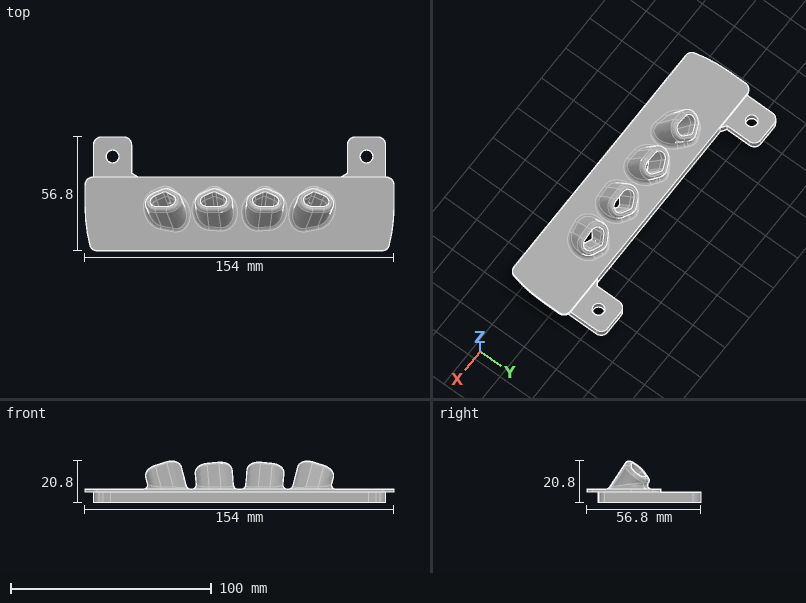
import cadquery as cq
import math

LENGTH = 154.0
DEPTH = 56.8

PLATE_DEPTH = 36.8
PLATE_THICKNESS = 1.5
PLATE_BACK_RADIUS = 4.0
PLATE_FRONT_RADIUS = 3.5
SIDE_CURVE_START = 22.0
SIDE_CURVE_RADIUS = 77.0

BASE_THICKNESS = 5.3
BASE_HALF_LENGTH = 72.8
BASE_FRONT = 5.5
BASE_FRONT_RADIUS = 2.8
FRONT_STEP = 0.45
STEP_OUTER_INSET = 4.9
STEP_INNER_INSET = 8.6
TAB_WIDTH = 19.1
TAB_RADIUS = 4.0
TAB_HOLE_DIAMETER = 6.3
TAB_HOLE_INSET = 9.8
GUSSET_WIDTH = 3.0
GUSSET_DEPTH = 2.0

RIM_TILT = 38.5
BODY_TILT = 32.5
FLAT_HALF = 2.92
BORE_SIDE_RADIUS = 3.65
BORE_PEAK_RADIUS = 1.85
WALL = 2.72
PEAK_ANGLE = 30.0
RIM_RADIUS = 1.5
MOUTH_DEPTH = 3.7
FOOT_RADIUS = 2.0
RIM_Y = 25.0
SOCKETS = ((5.5, 5.0, 13.0, 16.68), (17.5, 15.0, 38.2, 16.4))

PLATE_TOP = BASE_THICKNESS + PLATE_THICKNESS
AXIS_REACH = 40.0


def build_plate():
    half = LENGTH / 2
    sweep = math.asin(SIDE_CURVE_START / SIDE_CURVE_RADIUS)

    def side_point(angle):
        x = half - SIDE_CURVE_RADIUS * (1 - math.cos(angle))
        return x, SIDE_CURVE_START - SIDE_CURVE_RADIUS * math.sin(angle)

    mid_x, mid_y = side_point(sweep / 2)
    front_x, _ = side_point(sweep)
    plate = (
        cq.Workplane("XY", origin=(0, 0, BASE_THICKNESS))
        .moveTo(-half, PLATE_DEPTH)
        .lineTo(half, PLATE_DEPTH)
        .lineTo(half, SIDE_CURVE_START)
        .threePointArc((mid_x, mid_y), (front_x, 0))
        .lineTo(-front_x, 0)
        .threePointArc((-mid_x, mid_y), (-half, SIDE_CURVE_START))
        .close()
        .extrude(PLATE_THICKNESS)
    )
    plate = plate.edges("|Z and >Y").fillet(PLATE_BACK_RADIUS)
    return plate.edges("|Z and <Y").fillet(PLATE_FRONT_RADIUS)


def build_base():
    step_y = BASE_FRONT + FRONT_STEP
    step_outer = BASE_HALF_LENGTH - STEP_OUTER_INSET
    step_inner = BASE_HALF_LENGTH - STEP_INNER_INSET
    tab_inner = BASE_HALF_LENGTH - TAB_WIDTH
    gusset_top = PLATE_DEPTH + GUSSET_DEPTH
    half_base = (
        cq.Workplane("XY")
        .moveTo(0, BASE_FRONT)
        .lineTo(step_inner, BASE_FRONT)
        .lineTo(step_outer, step_y)
        .lineTo(BASE_HALF_LENGTH, step_y)
        .lineTo(BASE_HALF_LENGTH, DEPTH)
        .lineTo(tab_inner, DEPTH)
        .lineTo(tab_inner, gusset_top)
        .lineTo(tab_inner - GUSSET_WIDTH, PLATE_DEPTH)
        .lineTo(0, PLATE_DEPTH)
        .close()
        .extrude(BASE_THICKNESS)
    )
    half_base = half_base.edges("|Z and >Y").fillet(TAB_RADIUS)
    front_corner = cq.selectors.NearestToPointSelector((BASE_HALF_LENGTH, step_y, BASE_THICKNESS / 2))
    half_base = half_base.edges(front_corner).fillet(BASE_FRONT_RADIUS)
    base = half_base.union(half_base.mirror("YZ"))
    hole_x = BASE_HALF_LENGTH - TAB_WIDTH / 2
    hole_y = DEPTH - TAB_HOLE_INSET
    holes = (
        cq.Workplane("XY")
        .pushPoints([(-hole_x, hole_y), (hole_x, hole_y)])
        .circle(TAB_HOLE_DIAMETER / 2)
        .extrude(BASE_THICKNESS)
    )
    return base.cut(holes)


def socket_outline(plane, offset):
    """Bore outline grown by offset: a flat at -Y, round sides and a rounded peak at +Y."""
    side_radius = BORE_SIDE_RADIUS + offset
    peak_radius = BORE_PEAK_RADIUS + offset
    slope = math.radians(PEAK_ANGLE)
    half_width = FLAT_HALF + side_radius
    tangent_x = FLAT_HALF + side_radius * math.sin(slope)
    tangent_y = side_radius * math.cos(slope)
    sharp_peak_y = tangent_y + tangent_x * math.tan(slope)
    peak_centre_y = sharp_peak_y - peak_radius / math.cos(slope)
    peak_x = peak_radius * math.sin(slope)
    peak_y = peak_centre_y + peak_radius * math.cos(slope)
    return (
        cq.Workplane(plane)
        .moveTo(-FLAT_HALF, -side_radius)
        .lineTo(FLAT_HALF, -side_radius)
        .threePointArc((half_width, 0), (tangent_x, tangent_y))
        .lineTo(peak_x, peak_y)
        .threePointArc((0, peak_centre_y + peak_radius), (-peak_x, peak_y))
        .lineTo(-tangent_x, tangent_y)
        .threePointArc((-half_width, 0), (-FLAT_HALF, -side_radius))
        .close()
    )


def lean_direction(tilt, lean):
    """Unit vector that leans towards +Y by tilt and then sideways by lean."""
    back = math.radians(tilt)
    side = math.radians(lean)
    return cq.Vector(math.cos(back) * math.sin(side), math.sin(back), math.cos(back) * math.cos(side))


def socket_plane(lean, rim_x, rim_z):
    """Plane of the rim: local Z points out of the mouth, local -Y towards the flat."""
    side = math.radians(lean)
    across = (math.cos(side), 0, -math.sin(side))
    return cq.Plane(origin=(rim_x, RIM_Y, rim_z), xDir=across, normal=lean_direction(RIM_TILT, lean))


def sweep_down(outline, lean):
    """Oblique prism from a closed outline, along the body of the socket."""
    path = lean_direction(BODY_TILT, lean) * -AXIS_REACH
    return cq.Workplane(cq.Solid.extrudeLinear(outline.wires().val(), [], path))


def build_socket_body(plane, lean):
    outline = socket_outline(plane, WALL)
    body = sweep_down(outline, lean)
    body = body.faces(cq.selectors.NearestToPointSelector(plane.origin)).edges().fillet(RIM_RADIUS)
    below = (
        cq.Workplane("XY", origin=(0, 0, BASE_THICKNESS))
        .rect(2 * LENGTH, 2 * LENGTH)
        .extrude(-AXIS_REACH)
    )
    return body.cut(below)


def build_socket_bore(plane, lean):
    mouth = socket_outline(plane, 0).extrude(-MOUTH_DEPTH)
    throat_plane = cq.Plane(
        origin=plane.toWorldCoords((0, 0, -MOUTH_DEPTH)), xDir=plane.xDir, normal=plane.zDir
    )
    throat = socket_outline(throat_plane, 0)
    return mouth.union(sweep_down(throat, lean))


def build_socket(plate, plane, lean):
    """The plate with one socket on it, blended in by the foot fillet."""
    joined = plate.union(build_socket_body(plane, lean))
    margin = PLATE_THICKNESS / 2
    foot_edges = cq.selectors.BoxSelector(
        (-LENGTH / 2 + margin, margin, PLATE_TOP - margin),
        (LENGTH / 2 - margin, PLATE_DEPTH - margin, PLATE_TOP + margin),
        boundingbox=True,
    )
    return joined.edges(foot_edges).fillet(FOOT_RADIUS)


def build_part():
    sockets = []
    for rim_lean, body_lean, rim_x, rim_z in SOCKETS:
        for sign in (-1, 1):
            sockets.append((socket_plane(sign * rim_lean, sign * rim_x, rim_z), sign * body_lean))
    plate = build_plate()
    part = plate.union(build_base())
    for plane, lean in sockets:
        part = part.union(build_socket(plate, plane, lean))
    for plane, lean in sockets:
        part = part.cut(build_socket_bore(plane, lean))
    return part


result = build_part()